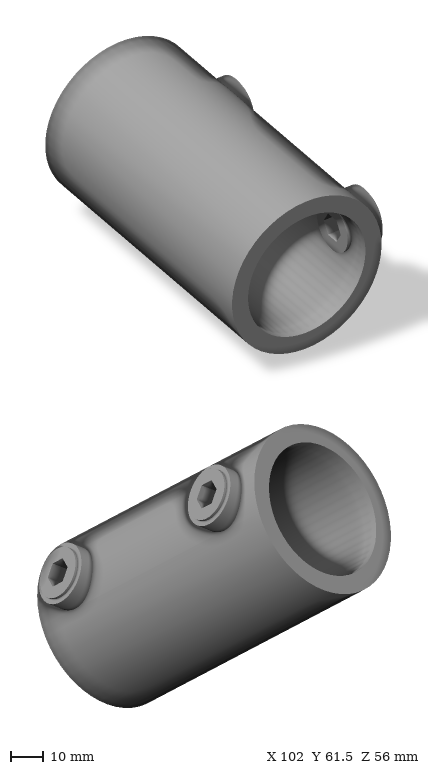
import cadquery as cq
import math

tube_length = 102.0
tube_diameter = 56.0
bore_diameter = 44.0

boss_diameter = 20.0
boss_top = 32.5
boss_end_distance = 16.0

screw_diameter = 16.7
screw_length = 13.1
screw_protrusion = 1.0
socket_across_flats = 8.1

screw_top = boss_top + screw_protrusion
socket_across_corners = socket_across_flats / math.cos(math.pi / 6)
boss_offset = tube_length / 2 - boss_end_distance
screw_positions = [-boss_offset, boss_offset]


def x_cylinder(diameter):
    """Cylinder along X over the full tube length."""
    return cq.Workplane("YZ").circle(diameter / 2).extrude(tube_length / 2, both=True)


def facing_inward(x, y):
    """Workplane centred at (x, y) whose extrusions run in -Y, towards the tube axis."""
    return cq.Workplane("XZ", origin=(x, y, 0))


def make_housing():
    """Tube with its bosses and screw holes; the bore trims the bosses inside."""
    housing = x_cylinder(tube_diameter)
    for x in screw_positions:
        housing = housing.union(facing_inward(x, boss_top).circle(boss_diameter / 2).extrude(boss_top))
    housing = housing.cut(x_cylinder(bore_diameter))
    for x in screw_positions:
        housing = housing.cut(facing_inward(x, boss_top).circle(screw_diameter / 2).extrude(boss_top))
    return housing


def make_set_screw(x):
    """Plain cylindrical screw with two socket corners pointing along X."""
    screw = facing_inward(x, screw_top).circle(screw_diameter / 2).extrude(screw_length)
    socket = facing_inward(x, screw_top).polygon(6, socket_across_corners).extrude(screw_length)
    return screw.cut(socket)


housing = make_housing()
set_screws = [make_set_screw(x).val() for x in screw_positions]

result = cq.Compound.makeCompound([housing.val(), *set_screws])